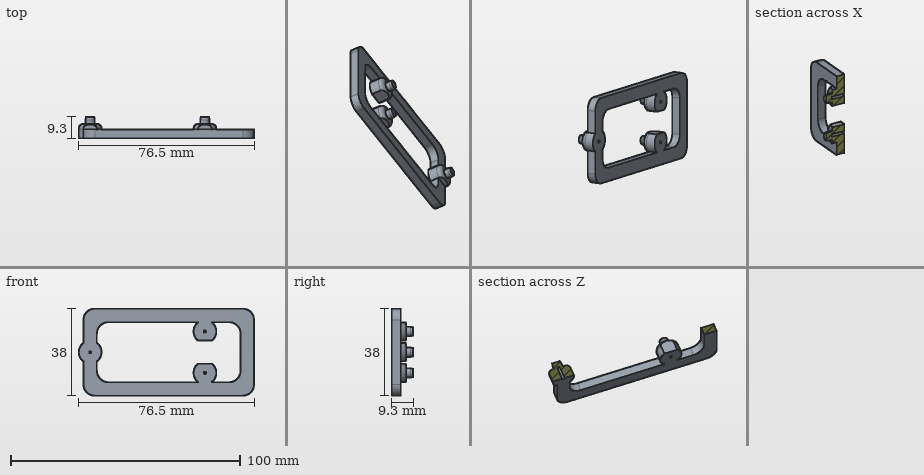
import cadquery as cq

total_length = 76.5
frame_height = 38.0
rail_width = 6.0
frame_thickness = 4.0
corner_radius = 5.0

pad_diameter = 10.0
pad_flat_height = 8.0
pad_height = 6.35
pad_edge_radius = 2.1

pin_diameter = 4.2
pin_tip_diameter = 3.7
pin_top = 9.3
pin_tip_length = 1.15

hole_diameter = 1.0
hole_depth = pad_height

left_pad_x = pad_diameter / 2
frame_left = left_pad_x - rail_width / 2
frame_length = total_length - frame_left
frame_center_x = frame_left + frame_length / 2
window_length = frame_length - 2 * rail_width
window_height = frame_height - 2 * rail_width

pad_spacing_x = 50.0
right_pad_x = left_pad_x + pad_spacing_x
right_pad_z = (window_height - pad_flat_height) / 2
pad_centers = [
    (left_pad_x, 0),
    (right_pad_x, right_pad_z),
    (right_pad_x, -right_pad_z),
]


def rounded_block(length, height):
    """Block with rounded corners, as thick as the frame."""
    return (
        cq.Workplane("XY")
        .box(length, frame_thickness, height)
        .edges("|Y")
        .fillet(corner_radius)
        .translate((frame_center_x, frame_thickness / 2, 0))
    )


def cylinder_along_y(diameter, start, end):
    """Cylinder on the Y axis between two Y positions."""
    return (
        cq.Workplane("XZ", origin=(0, start, 0))
        .circle(diameter / 2)
        .extrude(start - end)
    )


def make_pad():
    """Pad with a rounded back edge, two flats and a tapered pin."""
    flats = cq.Workplane("XY").box(pad_diameter, 2 * pad_height, pad_flat_height)
    pad = cylinder_along_y(pad_diameter, 0, pad_height)
    pad = pad.faces(">Y").edges().fillet(pad_edge_radius).intersect(flats)
    pin = cylinder_along_y(pin_diameter, 0, pin_top)
    tip_inset = (pin_diameter - pin_tip_diameter) / 2
    pin = pin.faces(">Y").edges().chamfer(pin_tip_length, tip_inset)
    return pad.union(pin)


frame = rounded_block(frame_length, frame_height).cut(
    rounded_block(window_length, window_height)
)
pad = make_pad()
hole = cylinder_along_y(hole_diameter, 0, hole_depth)

result = frame
for x, z in pad_centers:
    result = result.union(pad.translate((x, 0, z)))
for x, z in pad_centers:
    result = result.cut(hole.translate((x, 0, z)))